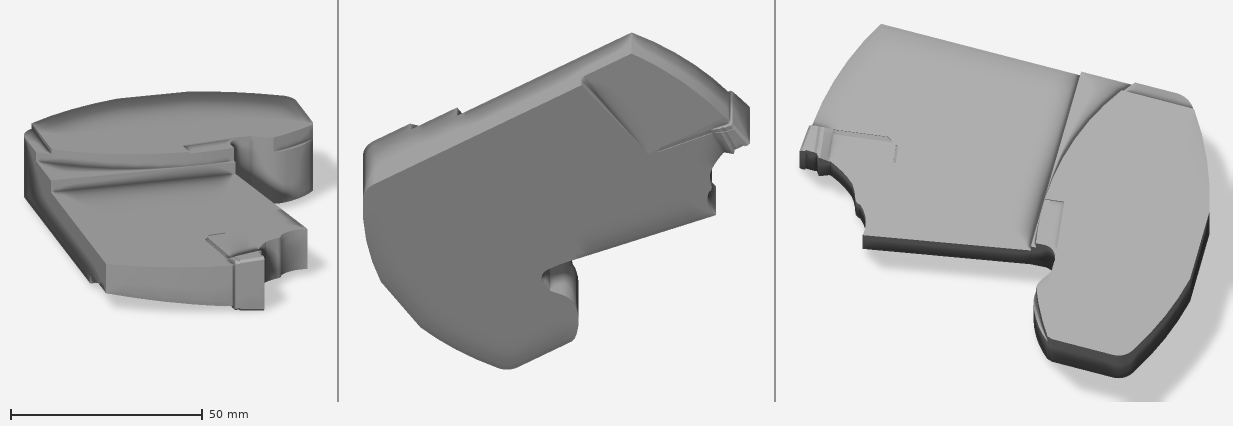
import cadquery as cq
import math


holder_height = 18.5
blade_height = 11.3
ledge_height = 14.5
size_x = 108.2
tall = 2 * holder_height

holder_depth = 74.5
flat_low_y = 29.8
flat_high_y = 48.9
low_flank = (12.0, 2.5)
high_flank = (9.0, 71.3)
front_edge_x = 17.1
side_radius = 75.0
neck_y = 49.8
blade_start_x = 42.9
blade_top_corner = (86.4, 57.5)
blade_bottom_x = 97.1
seat_tip = (107.1, 31.5)
nose_radius = 75.0

head_right_x = 42.4
head_arc_radius = 61.7
front_step_width = 3.5
front_step_depth = 1.5
pocket_depth = 0.4
pocket_corners = [(35.4, 53.6), (37.3, 37.1), (43.3, 37.8), (43.3, 53.6)]

relief_start_x = 81.5
relief_inner_x = 83.0
relief_height = 3.0
relief_length = 29.8
relief_corner = 0.6

insert_origin = (84.2, 33.7)
insert_angle = 7.3
shaft_half = 4.4
tail_half = 2.44
tail_chamfer_length = 2.4
shaft_end = 16.7
flare_end = 19.0
head_overhang = 2.1
tip_x = 24.9
tip_inset = 1.7
side_inset = 0.6
tip_corner = 0.6
land_step = 0.3
land_start = 20.1
land_end = 20.8
foot_y = -3.1
foot_step = 0.2
tail_gap = 0.6
rake_y = 3.2
rake_front_y = 2.8
lip_y = 3.1
lip_x = 23.1
groove_crest_x = 19.4
groove_back_x = 20.0


def arc_middle(start, end, radius):
    """Middle of the arc that bulges to the right of the way from start to end."""
    dx = end[0] - start[0]
    dy = end[1] - start[1]
    chord = math.hypot(dx, dy)
    rise = radius - math.sqrt(radius**2 - chord**2 / 4)
    return ((start[0] + end[0]) / 2 + rise * dy / chord,
            (start[1] + end[1]) / 2 - rise * dx / chord)


def box(x0, x1, y0, y1, z0, z1):
    return cq.Workplane("XY").box(x1 - x0, y1 - y0, z1 - z0, centered=False).translate((x0, y0, z0))


def place(body):
    """Move a shape from the insert frame to its place in the holder."""
    return body.rotate((0, 0, 0), (0, 0, 1), insert_angle).translate((*insert_origin, 0))


def holder_plate():
    flat_low = (0, flat_low_y)
    flat_high = (0, flat_high_y)
    shoulder = (31.8, 74.0)
    shoulder_end = (38.1, 64.7)
    return (
        cq.Workplane("XY").moveTo(front_edge_x, 0).lineTo(blade_bottom_x, 0)
        .threePointArc(arc_middle((blade_bottom_x, 0), seat_tip, nose_radius), seat_tip)
        .lineTo(99.7, 40.2)
        .lineTo(97.6, 41.1)
        .threePointArc((94.9, 42.8), (92.8, 44.5))
        .threePointArc((91.8, 46.0), (90.9, 48.1))
        .threePointArc((90.4, 49.0), (89.2, 49.6))
        .threePointArc((87.2, 52.0), blade_top_corner)
        .lineTo(blade_start_x, neck_y + 0.2)
        .lineTo(39.0, neck_y)
        .threePointArc((36.5, 50.9), (35.5, 53.2))
        .lineTo(35.5, 56.4)
        .lineTo(37.3, 59.3)
        .threePointArc((38.3, 61.9), shoulder_end)
        .threePointArc((35.6, 69.9), shoulder)
        .lineTo(30.4, holder_depth)
        .lineTo(13.7, holder_depth)
        .threePointArc((10.9, 73.6), high_flank)
        .threePointArc(arc_middle(high_flank, flat_high, side_radius), flat_high)
        .lineTo(*flat_low)
        .threePointArc(arc_middle(flat_low, low_flank, side_radius), low_flank)
        .threePointArc((14.1, 0.8), (front_edge_x, 0))
        .close().extrude(holder_height)
    )


def head_clearance():
    """Space above the ledge, outside the arc that bounds the raised head."""
    head_center = (head_right_x - head_arc_radius, (flat_low_y + flat_high_y) / 2)
    head = cq.Workplane("XY").center(*head_center).circle(head_arc_radius).extrude(tall)
    return box(0, size_x, 0, holder_depth, ledge_height, tall).cut(head)


def head_pocket():
    """Shallow recess in the head beside the neck."""
    return (
        cq.Workplane("XY").workplane(offset=holder_height - pocket_depth)
        .polyline(pocket_corners).close().extrude(tall)
    )


def relief_wedge():
    """Sloped relief that runs out under the blade toward the insert."""
    wedge = (
        cq.Workplane("YZ").polyline([(0, 0), (0, relief_height), (relief_length, 0)])
        .close().extrude(size_x)
    )
    footprint = (
        cq.Workplane("XY")
        .polyline([(relief_start_x, 0), (relief_inner_x, relief_length),
                   (size_x, relief_length), (size_x, 0)])
        .close().extrude(relief_height)
        .faces("<X").edges(">Z").chamfer(relief_corner)
    )
    return wedge.intersect(footprint)


def shaft_prism():
    """Pointed shaft of the insert through the full blade height, in the insert frame."""
    return (
        cq.Workplane("XY")
        .polyline([(0, tail_half), (tail_chamfer_length, shaft_half), (tip_x, shaft_half),
                   (tip_x, -shaft_half), (tail_chamfer_length, -shaft_half), (0, -tail_half)])
        .close().extrude(blade_height)
    )


def tail_groove():
    """Shallow clearance in the blade face behind the insert tail."""
    return box(-tail_gap, 0, -tail_half, tail_half, blade_height - foot_step, tall)


def make_holder():
    holder = holder_plate().cut(head_clearance())
    holder = holder.cut(box(blade_start_x, size_x, 0, holder_depth, blade_height, tall))
    holder = holder.cut(head_pocket())
    holder = holder.cut(box(0, head_right_x, 0, front_step_width, holder_height - front_step_depth, tall))
    holder = holder.cut(relief_wedge())
    return holder.cut(place(shaft_prism().union(tail_groove())))


def head_section(inset, end_inset, y):
    """Closed outline of the insert head in the plane at local height y."""
    low = inset - head_overhang
    high = blade_height - low
    end = tip_x - end_inset
    points = [(shaft_end, 0), (flare_end, low + land_step), (land_start, low + land_step),
              (land_end, low), (end - tip_corner, low), (end, low + tip_corner),
              (end, high - tip_corner), (end - tip_corner, high), (land_end, high),
              (land_start, high - land_step), (flare_end, high - land_step),
              (shaft_end, blade_height)]
    return cq.Wire.makePolygon([cq.Vector(x, y, z) for x, z in points], close=True)


def chip_groove():
    """Groove across the rake side of the head, behind the cutting lip."""
    return (
        cq.Workplane("XY").workplane(offset=-tall)
        .polyline([(groove_crest_x, tall), (groove_crest_x, shaft_half), (groove_back_x, rake_y),
                   (lip_x, rake_front_y), (lip_x, lip_y), (tip_x, lip_y), (tip_x, tall)])
        .close().extrude(2 * tall)
    )


def make_insert():
    shaft = shaft_prism().intersect(box(0, shaft_end, -shaft_half, shaft_half, 0, blade_height))
    for z in (0, blade_height - foot_step):
        shaft = shaft.cut(box(0, shaft_end, -shaft_half, foot_y, z, z + foot_step))
    foot_tip = tip_inset * (shaft_half - foot_y) / (2 * shaft_half)
    foot_inset = side_inset + foot_step
    upper = cq.Solid.makeLoft(
        [head_section(side_inset, foot_tip, foot_y), head_section(0, 0, shaft_half)], True)
    foot = cq.Solid.makeLoft(
        [head_section(foot_inset, tip_inset, -shaft_half),
         head_section(foot_inset, foot_tip, foot_y)], True)
    head = cq.Workplane(upper).union(cq.Workplane(foot)).cut(chip_groove())
    return place(shaft.union(head))


holder = make_holder()
insert = make_insert()

result = cq.Compound.makeCompound([*holder.solids().vals(), *insert.solids().vals()])